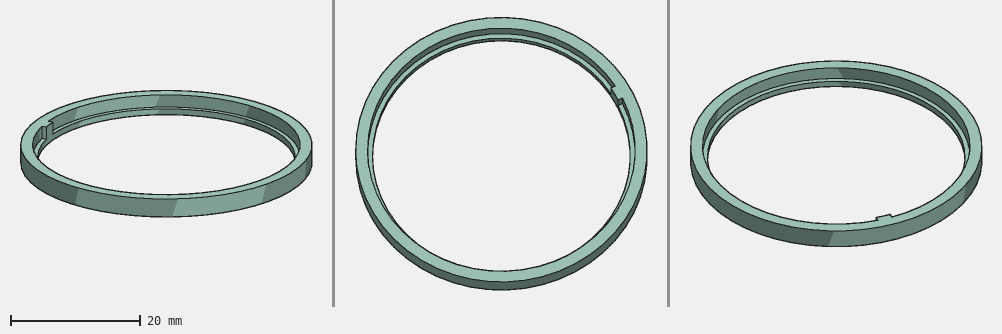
import cadquery as cq

outer_diameter = 45.0
height = 3.0
bore_diameter = 39.8

recess_diameter = 41.3
lip_height = 1.0
recess_depth = height - lip_height

key_width = 2.35


def ring(outer, inner, base, thickness):
    """Flat ring standing on the plane z = base."""
    return cq.Workplane("XY").workplane(offset=base).circle(outer / 2).circle(inner / 2).extrude(thickness)


def key_gap():
    """Block on the -X side that interrupts the recess to leave the key."""
    length = outer_diameter / 2
    return cq.Workplane("XY").box(length, key_width, height, centered=(False, True, False)).translate((-length, 0, 0))


body = ring(outer_diameter, bore_diameter, 0, height)
recess = ring(recess_diameter, bore_diameter, lip_height, recess_depth).cut(key_gap())
result = body.cut(recess)